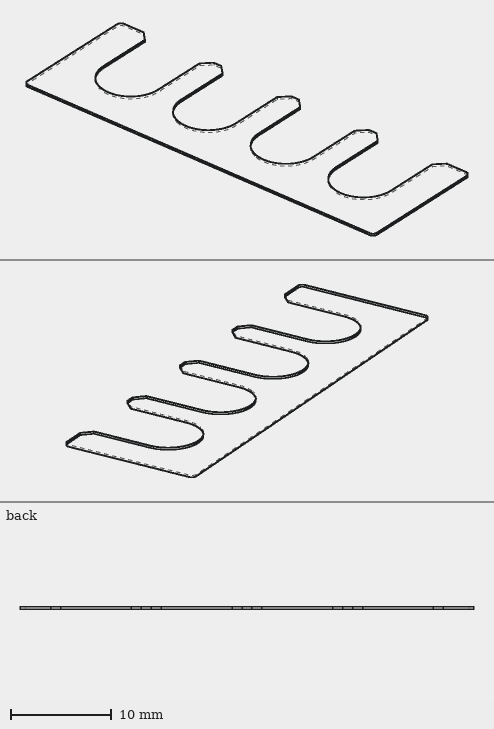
import cadquery as cq

length = 45.0
depth = 15.0
thickness = 0.25
corner_radius = 0.5

slot_count = 4
slot_pitch = 10.0
slot_width = 7.0
back_width = 4.0
mouth_chamfer = 1.0

slot_radius = slot_width / 2
slot_center_y = -depth / 2 + back_width + slot_radius
rear_y = depth / 2


def make_plate():
    """Flat rectangular plate with rounded vertical corners."""
    plate = cq.Workplane("XY").box(length, depth, thickness)
    return plate.edges("|Z").fillet(corner_radius)


def make_slot(center_x):
    """Round-bottomed slot whose mouth widens through two chamfers."""
    left = center_x - slot_radius
    right = center_x + slot_radius
    chamfer_y = rear_y - mouth_chamfer
    return (
        cq.Workplane("XY")
        .workplane(offset=-thickness / 2)
        .moveTo(left - mouth_chamfer, rear_y)
        .lineTo(left, chamfer_y)
        .lineTo(left, slot_center_y)
        .threePointArc((center_x, slot_center_y - slot_radius), (right, slot_center_y))
        .lineTo(right, chamfer_y)
        .lineTo(right + mouth_chamfer, rear_y)
        .close()
        .extrude(thickness)
    )


result = make_plate()
for index in range(slot_count):
    slot_x = (index - (slot_count - 1) / 2) * slot_pitch
    result = result.cut(make_slot(slot_x))